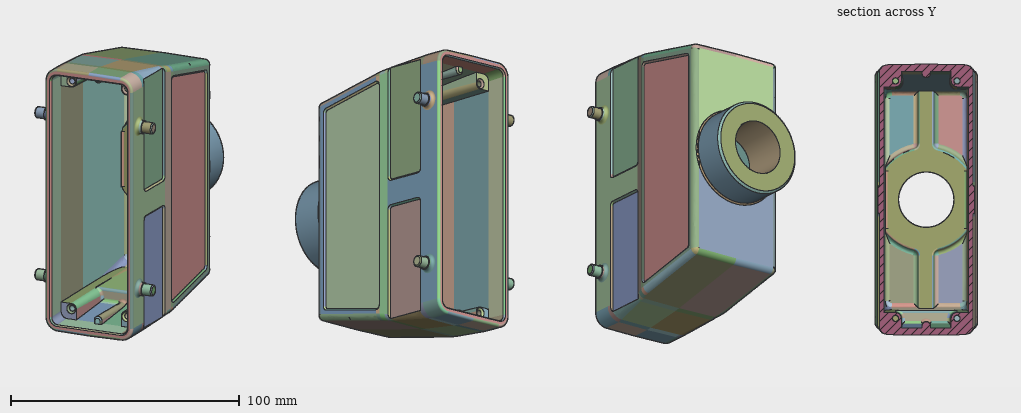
import cadquery as cq
import math

BACK_Y = 76.0
CROWN_ANGLE = 0.8
END_OUTLINE = [(0.0, 60.1), (9.9, 60.1), (12.6, 59.85), (30.8, 57.8), (33.7, 57.35), (BACK_Y, 49.3)]
SIDE_OUTLINE = [(0.0, 21.3), (32.2, 21.3), (36.2, 22.3), (38.2, 22.5), (BACK_Y, 22.5)]
CORNER_OUTLINE = [(0.0, 6.0), (9.9, 6.0), (30.8, 2.6), (BACK_Y, 2.5)]
BACK_EDGE_RADIUS = 2.5
RIM_RADIUS = 1.1

FLOOR_Y = 73.0
CAVITY_SECTIONS = [
    (0.0, 18.4, 56.95, 3.0),
    (9.9, 18.4, 56.6, 3.0),
    (31.6, 18.3, 54.5, 2.9),
    (FLOOR_Y, 17.8, 46.9, 2.8),
]
FLOOR_RADIUS = 1.9
MOUTH_CHAMFER = 0.75
MOUTH_END_CHAMFER = 0.5

PLATEAU_HEIGHT = 3.6
PLATEAU_DRAFT = 12.0
PLATEAU_RADIUS = 22.6
RIB_WIDTH = 6.4
RIB_CORNER_RADIUS = 2.5
PLATEAU_TOP_RADIUS = 0.8
COVE_RADIUS = 1.0

NOZZLE_END_Y = 92.0
NOZZLE_DIAMETER = 42.0
NOZZLE_CHAMFER = 1.0
NOZZLE_FOOT_RADIUS = 0.7
CABLE_HOLE_DIAMETER = 24.1

POST_FACE_Y = 10.0
POST_X = 13.45
POST_Z = 51.9
POST_RADIUS = 2.5
POST_DRAFT = 1.3
SCREW_HOLE_DIAMETER = 2.6
SCREW_HOLE_DEPTH = 15.0
SCREW_CHAMFER = 0.9

KEY_FACE_Y = 8.6
KEY_RADIUS = 1.9
KEY_CENTER_Z = 55.2
KEY_CHAMFER = 0.7
LEDGE_FACE_Y = 34.0
LEDGE_TOP_Z = 48.5
LEDGE_RADIUS = 1.2
LEDGE_FOOT_RADIUS = 1.2

PIN_TIP_X = 28.5
PIN_Y = 6.4
PIN_Z = 37.0
PIN_DIAMETER = 5.0
PIN_CHAMFER = 0.5
COLLAR_TOP_X = 23.7
COLLAR_DIAMETER = 5.9
COLLAR_FOOT_RADIUS = 1.4

PANEL_DEPTH = 0.8
PANEL_RADIUS = 1.2
PANEL_WALL_ANGLE = 45.0
LABEL_Y_FRONT = 37.2
LABEL_Y_BACK = 70.8
LABEL_HALF_Z_FRONT = 51.2
LABEL_HALF_Z_BACK = 44.8
GRIP_Y_FRONT = 12.4
GRIP_Y_BACK = 31.4
GRIP_INNER_Z = 6.3
GRIP_OUTER_Z = 56.8
GRIP_FLOOR_X = 20.5


def xz_plane(y):
    """Workplane at a given Y with local axes X and Z; negative extrusion runs along +Y."""
    return cq.Workplane("XZ", origin=(0, y, 0))


def value_at(outline, y):
    """Value at Y on an outline of straight stretches."""
    for (y0, value0), (y1, value1) in zip(outline, outline[1:]):
        if y <= y1:
            return value0 + (value1 - value0) * (y - y0) / (y1 - y0)


def section(y, half_x, half_z, radius, crown_angle=0.0):
    """Rounded rectangle at a given Y whose short sides may peak at X = 0."""
    corner_z = half_z - half_x * math.tan(math.radians(crown_angle))
    points = [(-half_x, -corner_z), (half_x, -corner_z), (half_x, corner_z), (-half_x, corner_z)]
    if crown_angle:
        points.insert(3, (0, half_z))
        points.insert(1, (0, -half_z))
    outline = cq.Sketch().polygon(points + points[:1])
    outline = outline.vertices(">X or <X").fillet(radius)
    return outline.moved(cq.Location(cq.Vector(0, 0, -y)))


def stacked(outlines):
    """Solid made by joining consecutive sections with straight faces."""
    return cq.Workplane("XZ").placeSketch(*outlines).loft(ruled=True)


def make_shell():
    stations = sorted({y for y, _ in END_OUTLINE + SIDE_OUTLINE + CORNER_OUTLINE})
    shell = stacked([
        section(
            y, value_at(SIDE_OUTLINE, y), value_at(END_OUTLINE, y), value_at(CORNER_OUTLINE, y), CROWN_ANGLE,
        )
        for y in stations
    ])
    shell = shell.faces(">Y").edges().fillet(BACK_EDGE_RADIUS)
    return shell.faces("<Y").edges().fillet(RIM_RADIUS)


def make_nozzle():
    """Round stub on the back wall with a flared foot."""
    nozzle = xz_plane(BACK_Y - 1).circle(NOZZLE_DIAMETER / 2).extrude(-(NOZZLE_END_Y - BACK_Y + 1))
    nozzle = nozzle.faces(">Y").chamfer(NOZZLE_CHAMFER)
    foot = (
        xz_plane(BACK_Y).circle(NOZZLE_DIAMETER / 2 + NOZZLE_FOOT_RADIUS).extrude(-NOZZLE_FOOT_RADIUS)
        .faces(">Y").chamfer(NOZZLE_FOOT_RADIUS * 0.99)
    )
    return nozzle.union(foot)


def make_cavity():
    return stacked([section(*values) for values in CAVITY_SECTIONS])


def make_mouth():
    """Bevel around the mouth of the cavity."""
    half_x, half_z, radius = CAVITY_SECTIONS[0][1:]
    return stacked([
        section(0.0, half_x + MOUTH_CHAMFER, half_z + MOUTH_END_CHAMFER, radius + MOUTH_CHAMFER),
        section(MOUTH_CHAMFER, half_x, half_z, radius),
    ])


def make_plateau():
    """Raised disc and ribs standing on the pocket floor."""
    top_y = FLOOR_Y - PLATEAU_HEIGHT
    rib_length = 2 * CAVITY_SECTIONS[0][2]
    outline = (
        cq.Sketch().circle(PLATEAU_RADIUS).rect(RIB_WIDTH, rib_length).clean().reset()
        .vertices(cq.selectors.BoxSelector(
            (-RIB_WIDTH, -PLATEAU_RADIUS, -1), (RIB_WIDTH, PLATEAU_RADIUS, 1),
        )).fillet(RIB_CORNER_RADIUS)
    )
    plateau = xz_plane(top_y).placeSketch(outline).extrude(-PLATEAU_HEIGHT, taper=-PLATEAU_DRAFT)
    return plateau.faces("<Y").edges().fillet(PLATEAU_TOP_RADIUS)


def make_coves():
    """Concave quarter rounds where the raised disc meets the two side walls."""
    wall_x = CAVITY_SECTIONS[-1][1]
    top_y = FLOOR_Y - PLATEAU_HEIGHT
    inner_x = wall_x - COVE_RADIUS
    outer_y = top_y - COVE_RADIUS
    root = 1.0
    bend = COVE_RADIUS * math.sqrt(0.5)
    half_length = math.sqrt((PLATEAU_RADIUS - PLATEAU_TOP_RADIUS) ** 2 - wall_x ** 2)
    cove = (
        cq.Workplane("XY", origin=(0, 0, -half_length))
        .moveTo(inner_x, top_y + root).lineTo(inner_x, top_y)
        .threePointArc((inner_x + bend, outer_y + bend), (wall_x, outer_y))
        .lineTo(wall_x + root, outer_y).lineTo(wall_x + root, top_y + root)
        .close().extrude(2 * half_length)
    )
    return cove.union(cove.mirror("YZ"))


def make_posts():
    """Screw posts, without their holes."""
    inner_x = POST_X - POST_RADIUS
    inner_z = POST_Z - POST_RADIUS
    outer_x = CAVITY_SECTIONS[0][1] + 1
    outer_z = CAVITY_SECTIONS[0][2] + 1
    posts = cq.Workplane()
    for side in (-1, 1):
        for end in (-1, 1):
            outline = (
                cq.Sketch()
                .push([(side * (inner_x + outer_x) / 2, end * (inner_z + outer_z) / 2)])
                .rect(outer_x - inner_x, outer_z - inner_z)
                .reset()
                .vertices(("<X" if side > 0 else ">X") + " and " + ("<Y" if end > 0 else ">Y"))
                .fillet(POST_RADIUS)
            )
            post = xz_plane(POST_FACE_Y).placeSketch(outline).extrude(-(FLOOR_Y - POST_FACE_Y), taper=-POST_DRAFT)
            posts = posts.union(post)
    return posts


def make_ledge():
    """Fill between the lower posts."""
    outer_z = CAVITY_SECTIONS[0][2]
    ledge = cq.Workplane("XY").box(
        2 * POST_X, FLOOR_Y - LEDGE_FACE_Y, outer_z - LEDGE_TOP_Z, centered=(True, False, False),
    ).translate((0, LEDGE_FACE_Y, -outer_z))
    return ledge.edges("<Y and >Z").fillet(LEDGE_RADIUS)


def make_keys():
    """Half-round coding ribs at the middle of both cavity ends."""
    root_z = CAVITY_SECTIONS[0][2] + 1
    outline = (
        cq.Sketch().push([(0, KEY_CENTER_Z), (0, -KEY_CENTER_Z)]).circle(KEY_RADIUS).reset()
        .push([(0, (root_z + KEY_CENTER_Z) / 2), (0, -(root_z + KEY_CENTER_Z) / 2)])
        .rect(2 * KEY_RADIUS, root_z - KEY_CENTER_Z).clean()
    )
    keys = xz_plane(KEY_FACE_Y).placeSketch(outline).extrude(-(LEDGE_FACE_Y + 1 - KEY_FACE_Y))
    return keys.faces("<Y").chamfer(KEY_CHAMFER)


def make_screw_holes():
    places = [(side * POST_X, end * POST_Z) for side in (-1, 1) for end in (-1, 1)]
    holes = xz_plane(POST_FACE_Y).pushPoints(places).circle(SCREW_HOLE_DIAMETER / 2).extrude(-SCREW_HOLE_DEPTH)
    mouths = (
        xz_plane(POST_FACE_Y).pushPoints(places).circle(SCREW_HOLE_DIAMETER / 2 + SCREW_CHAMFER)
        .extrude(-SCREW_CHAMFER, taper=45)
    )
    return holes.union(mouths)


def make_pins():
    """Two locking pins on each side, each a turned profile with a collar and flared foot."""
    wall_x = SIDE_OUTLINE[0][1]
    root_x = wall_x - 1
    pin_r = PIN_DIAMETER / 2
    collar_r = COLLAR_DIAMETER / 2
    foot = COLLAR_FOOT_RADIUS
    bend = foot * (1 - math.sqrt(0.5))
    profile = (
        cq.Workplane("XY").moveTo(root_x, 0)
        .lineTo(root_x, collar_r + foot)
        .lineTo(wall_x, collar_r + foot)
        .threePointArc((wall_x + bend, collar_r + bend), (wall_x + foot, collar_r))
        .lineTo(COLLAR_TOP_X, collar_r)
        .lineTo(COLLAR_TOP_X, pin_r)
        .lineTo(PIN_TIP_X - PIN_CHAMFER, pin_r)
        .lineTo(PIN_TIP_X, pin_r - PIN_CHAMFER)
        .lineTo(PIN_TIP_X, 0)
        .close()
    )
    pin = profile.revolve(360, (0, 0, 0), (1, 0, 0))
    pins = cq.Workplane()
    for z in (-PIN_Z, PIN_Z):
        right_pin = pin.translate((0, PIN_Y, z))
        pins = pins.union(right_pin).union(right_pin.mirror("YZ"))
    return pins


def make_panels():
    """Cutters for the recessed label panel and the two grip panels on each side."""
    label_floor_x = SIDE_OUTLINE[-1][1] - PANEL_DEPTH
    cutter_depth = 3
    label_outline = cq.Sketch().polygon([
        (LABEL_Y_FRONT, -LABEL_HALF_Z_FRONT), (LABEL_Y_BACK, -LABEL_HALF_Z_BACK),
        (LABEL_Y_BACK, LABEL_HALF_Z_BACK), (LABEL_Y_FRONT, LABEL_HALF_Z_FRONT),
        (LABEL_Y_FRONT, -LABEL_HALF_Z_FRONT),
    ]).vertices().fillet(PANEL_RADIUS)
    label = (
        cq.Workplane("YZ", origin=(label_floor_x, 0, 0))
        .placeSketch(label_outline).extrude(cutter_depth, taper=-PANEL_WALL_ANGLE)
    )
    grip_outline = cq.Sketch().polygon([
        (GRIP_Y_FRONT, GRIP_INNER_Z), (GRIP_Y_BACK, GRIP_INNER_Z),
        (GRIP_Y_BACK, GRIP_OUTER_Z), (GRIP_Y_FRONT, GRIP_OUTER_Z),
        (GRIP_Y_FRONT, GRIP_INNER_Z),
    ]).vertices("<Y").fillet(PANEL_RADIUS)
    grip = (
        cq.Workplane("YZ", origin=(GRIP_FLOOR_X, 0, 0))
        .placeSketch(grip_outline).extrude(cutter_depth, taper=-PANEL_WALL_ANGLE)
    )
    one_side = label.union(grip).union(grip.mirror("XY"))
    return one_side.union(one_side.mirror("YZ"))


def edges_at_depth(space, y, half_x, half_z):
    """Edges of the inner space lying at depth Y within the given half widths."""
    slack = 0.01
    region = cq.selectors.BoxSelector((-half_x, y - slack, -half_z), (half_x, y + slack, half_z), boundingbox=True)
    return space.edges(region)


def make_space():
    """Inner space of the hood: the cavity less everything that stands in it."""
    space = make_cavity().cut(make_plateau())
    space = space.faces(">Y").edges().fillet(FLOOR_RADIUS)
    space = space.cut(make_posts().union(make_ledge()).union(make_keys()).union(make_coves()))
    ledge_foot = edges_at_depth(space, LEDGE_FACE_Y, POST_X - POST_RADIUS, POST_Z + 2 * POST_RADIUS)
    space = ledge_foot.fillet(LEDGE_FOOT_RADIUS)
    return space.union(make_mouth())


result = make_shell().union(make_nozzle()).cut(make_panels())
result = result.cut(make_space())
result = result.cut(make_screw_holes())
result = result.cut(xz_plane(0).circle(CABLE_HOLE_DIAMETER / 2).extrude(-NOZZLE_END_Y - 1))
result = result.union(make_pins())